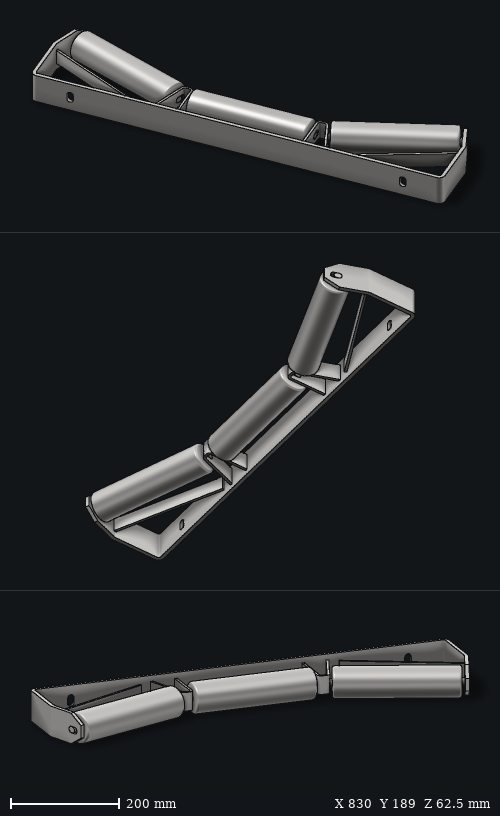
import cadquery as cq
import math


TILT = 20.0
SIN_TILT = math.sin(math.radians(TILT))
COS_TILT = math.cos(math.radians(TILT))

FRAME_LENGTH = 830.0
FRAME_DEPTH = 189.0
FRAME_HEIGHT = 60.0
FRAME_THICKNESS = 8.0
FRAME_BEND_RADIUS = 12.5
CHEEK_BEND_Y = 109.0
TIP_CHAMFER_LENGTH = 28.0
TIP_CHAMFER_HEIGHT = 17.5
HALF_LENGTH = FRAME_LENGTH / 2
CHEEK_LENGTH = (FRAME_DEPTH - CHEEK_BEND_Y) / COS_TILT

MOUNT_SLOT_X = 334.5
MOUNT_SLOT_WIDTH = 12.5
MOUNT_SLOT_LENGTH = 21.5

ROLLER_DIAMETER = 61.5
ROLLER_LENGTH = 240.0
ROLLER_EDGE_RADIUS = 5.0
ROLLER_DROP = 2.5
ROLLER_Z = ROLLER_DIAMETER / 2 - FRAME_HEIGHT / 2 - ROLLER_DROP
MIDDLE_ROLLER_Y = 70.5
SIDE_ROLLER_X = 269.0
SIDE_ROLLER_Y = 119.5

SHAFT_DIAMETER = 15.0
SHAFT_FLAT_HEIGHT = 12.0
SEAT_SLOT_WIDTH = 12.5
SEAT_SLOT_LENGTH = 21.5

BRACKET_HEIGHT = 36.5
BRACKET_THICKNESS = 5.0
BRACKET_BEND_RADIUS = 9.0
BRACKET_TOP_Y = 93.0
UPRIGHT_FACE_X = 124.0
SHOULDER_X = 146.0

STRUT_THICKNESS = 5.0
STRUT_HEIGHT = 30.0
STRUT_ANGLE = 25.0
STRUT_LENGTH = 234.0
STRUT_FOOT_X = 196.0
STRUT_FOOT_Y = 12.5

UPRIGHT_NEAR = UPRIGHT_FACE_X
UPRIGHT_FAR = UPRIGHT_NEAR + BRACKET_THICKNESS
LEANING_NEAR = (SIDE_ROLLER_X - SHOULDER_X) * COS_TILT + (SIDE_ROLLER_Y - BRACKET_TOP_Y) * SIN_TILT
LEANING_FAR = LEANING_NEAR + BRACKET_THICKNESS
CHEEK_FAR = (HALF_LENGTH - SIDE_ROLLER_X) * COS_TILT - (SIDE_ROLLER_Y - CHEEK_BEND_Y) * SIN_TILT
CHEEK_NEAR = CHEEK_FAR - FRAME_THICKNESS


def mirrored(body):
    return body.mirror("YZ")


def place_middle(body):
    return body.translate((0, MIDDLE_ROLLER_Y, ROLLER_Z))


def place_left(body):
    tilted = body.rotate((0, 0, 0), (0, 0, 1), -TILT)
    return tilted.translate((-SIDE_ROLLER_X, SIDE_ROLLER_Y, ROLLER_Z))


def make_strip(outline, height):
    return cq.Workplane("XY").polyline(outline).close().extrude(height / 2, both=True)


def round_bends(strip, corners, radius):
    """Round the upright edges of a strip that pass through the given outline corners."""
    reach = 0.1
    for x, y in corners:
        around_corner = cq.selectors.BoxSelector(
            (x - reach, y - reach, -reach), (x + reach, y + reach, reach)
        )
        strip = strip.edges("|Z").edges(around_corner).fillet(radius)
    return strip


def make_seat_slots(reach):
    """Cutter along X for the slots at both ends of a roller, with its shaft low in the slots."""
    rise = (SEAT_SLOT_LENGTH - SHAFT_DIAMETER) / 2
    return (
        cq.Workplane("YZ", origin=(0, rise, 0))
        .slot2D(SEAT_SLOT_LENGTH, SEAT_SLOT_WIDTH)
        .extrude(reach, both=True)
    )


def chamfer_tip(half, tip):
    """Cut the upper and lower corners off the free end of the left cheek."""
    cheek_face = cq.Plane(
        origin=(*tip, 0), xDir=(-SIN_TILT, -COS_TILT, 0), normal=(-COS_TILT, SIN_TILT, 0)
    )
    edge = FRAME_HEIGHT / 2
    for side in (1, -1):
        corner = [
            (0, side * edge),
            (TIP_CHAMFER_LENGTH, side * edge),
            (0, side * (edge - TIP_CHAMFER_HEIGHT)),
        ]
        wedge = cq.Workplane(cheek_face).polyline(corner).close().extrude(2 * FRAME_THICKNESS, both=True)
        half = half.cut(wedge)
    return half


def make_frame():
    t = FRAME_THICKNESS
    corner = (-HALF_LENGTH, 0)
    corner_inside = (-HALF_LENGTH + t, t)
    bend = (-HALF_LENGTH, CHEEK_BEND_Y)
    bend_inside = (-HALF_LENGTH + t, CHEEK_BEND_Y - t * math.tan(math.radians(TILT / 2)))
    tip = (-HALF_LENGTH + CHEEK_LENGTH * SIN_TILT, FRAME_DEPTH)
    tip_inside = (tip[0] + t * COS_TILT, tip[1] - t * SIN_TILT)
    outline = [(0, 0), corner, bend, tip, tip_inside, bend_inside, corner_inside, (0, t)]

    half = make_strip(outline, FRAME_HEIGHT)
    half = round_bends(half, [corner, bend], FRAME_BEND_RADIUS)
    half = round_bends(half, [corner_inside, bend_inside], FRAME_BEND_RADIUS - t)
    half = chamfer_tip(half, tip)

    mount_slot = (
        cq.Workplane("XZ", origin=(-MOUNT_SLOT_X, 0, 0))
        .slot2D(MOUNT_SLOT_LENGTH, MOUNT_SLOT_WIDTH, 90)
        .extrude(-t)
    )
    half = half.cut(mount_slot).cut(place_left(make_seat_slots(CHEEK_FAR)))
    return half.union(mirrored(half))


def make_left_bracket():
    """Its upright leg seats the middle roller and its leaning leg seats the left roller."""
    t = BRACKET_THICKNESS
    foot_y = FRAME_THICKNESS
    inside_y = BRACKET_TOP_Y - t

    def leaning_face_x(y):
        return -SHOULDER_X - (BRACKET_TOP_Y - y) * SIN_TILT / COS_TILT

    def leaning_back_x(y):
        return leaning_face_x(y) + t / COS_TILT

    shoulder = (-SHOULDER_X, BRACKET_TOP_Y)
    shoulder_inside = (leaning_back_x(inside_y), inside_y)
    corner = (-UPRIGHT_FACE_X, BRACKET_TOP_Y)
    corner_inside = (-UPRIGHT_FACE_X - t, inside_y)
    outline = [
        (leaning_face_x(foot_y), foot_y),
        shoulder,
        corner,
        (-UPRIGHT_FACE_X, foot_y),
        (-UPRIGHT_FACE_X - t, foot_y),
        corner_inside,
        shoulder_inside,
        (leaning_back_x(foot_y), foot_y),
    ]
    bracket = make_strip(outline, BRACKET_HEIGHT)
    bracket = round_bends(bracket, [shoulder, corner], BRACKET_BEND_RADIUS)
    bracket = round_bends(bracket, [shoulder_inside, corner_inside], BRACKET_BEND_RADIUS - t)
    bracket = bracket.cut(place_left(make_seat_slots(LEANING_FAR)))
    return bracket.cut(place_middle(make_seat_slots(UPRIGHT_FAR)))


def make_left_strut(frame):
    """Flat bar leaning from the front bar to the left bend, its ends fitted to the frame."""
    bar = (
        cq.Workplane("XY")
        .box(STRUT_LENGTH, STRUT_THICKNESS, STRUT_HEIGHT)
        .translate((-STRUT_LENGTH / 2, -STRUT_THICKNESS / 2, 0))
        .rotate((0, 0, 0), (0, 0, 1), -STRUT_ANGLE)
        .translate((-STRUT_FOOT_X, STRUT_FOOT_Y, 0))
    )
    return bar.cut(frame)


def make_shaft_end(side, near, far):
    """Half shaft along X, round up to the near face of its seat and flattened to the far face."""
    flattened = cq.Workplane("YZ").slot2D(SHAFT_DIAMETER, SHAFT_FLAT_HEIGHT).extrude(side * far)
    return cq.Workplane("YZ").circle(SHAFT_DIAMETER / 2).extrude(side * near).union(flattened)


def make_roller(left_seat, right_seat):
    """Roller with its shaft along X, centred on the origin; each seat is (near, far)."""
    drum = (
        cq.Workplane("YZ", origin=(-ROLLER_LENGTH / 2, 0, 0))
        .circle(ROLLER_DIAMETER / 2)
        .extrude(ROLLER_LENGTH)
        .faces("<X or >X")
        .edges()
        .fillet(ROLLER_EDGE_RADIUS)
    )
    return drum.union(make_shaft_end(-1, *left_seat)).union(make_shaft_end(1, *right_seat))


frame = make_frame()

cheek_seat = (CHEEK_NEAR, CHEEK_FAR)
leaning_seat = (LEANING_NEAR, LEANING_FAR)
upright_seat = (UPRIGHT_NEAR, UPRIGHT_FAR)
middle_roller = place_middle(make_roller(upright_seat, upright_seat))
left_roller = place_left(make_roller(cheek_seat, leaning_seat))

bodies = [frame, middle_roller]
for left_body in (left_roller, make_left_bracket(), make_left_strut(frame)):
    bodies += [left_body, mirrored(left_body)]

result = cq.Compound.makeCompound([solid for body in bodies for solid in body.solids().vals()])